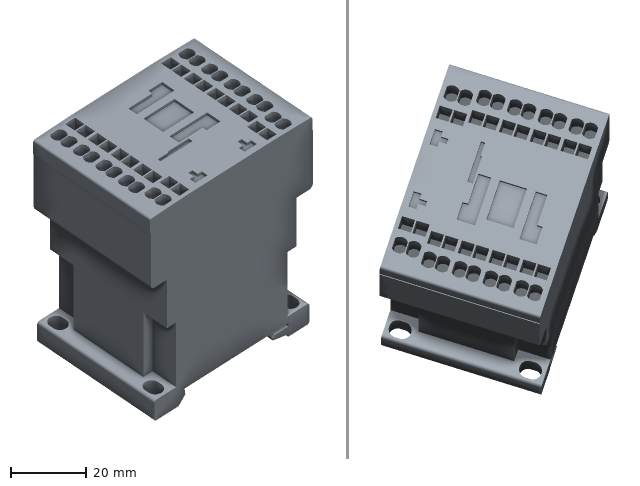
import cadquery as cq

width = 44.8
height = 72.4

foot_half_depth = 28.75
foot_height = 7.25
foot_fillet = 0.9
rail_recess_height = 4.85

clip_root_y = 20.9
clip_tip_y = 15.2
clip_top_z = 3.6
clip_tip_chamfer = 0.8
clip_tip_bottom_z = 2.1
clip_root_bottom_z = 0.9

hook_root_y = -17.5
hook_tip_y = -17.2
hook_tip_z = 2.7
hook_bottom_y = -19.7

waist_half_depth = 24.05
notch_width = 9.05
notch_depth = 3.4
notch_top_z = 30.0

shoulder_depth = 60.0
shoulder_bottom_z = 47.1
shoulder_half_depth = shoulder_depth / 2
shoulder_fillet = 1.45
cap_shift = -0.2
cap_bottom_z = 67.3
cap_edge_z = 72.05
cap_fillet = 0.7
ridge_half_depth = 16.0

slot_diameter = 4.8
slot_length = 6.15
slot_x = 18.25
slot_y = 25.05

terminal_pairs = 5
terminal_pitch = 8.6
first_terminal_x = -17.1
terminal_depth = 7.25
aux_inset = 1.5
wire_diameter = 4.55
wire_width = 3.55
wire_spacing = 3.85
wire_row_y = 23.75
screw_side = 3.6
screw_spacing = 4.05
screw_row_y = 17.75

pocket_depth = 1.0
pocket_end_y = -3.3

window_left = -8.05
window_right = -0.4
window_top = 8.2

arm_top = 10.65
arm_step = 5.5
left_arm_outer = -15.3
left_arm_step = -13.75
left_arm_inner = -10.5
right_arm_outer = 7.1
right_arm_step = 5.6
right_arm_inner = 1.95

slider_left = 6.15
slider_step = 6.5
slider_right = 7.7
slider_top = -0.3
slider_step_y = -8.2
slider_bottom = -12.1

latch_right = 20.4
latch_head_left = 18.25
latch_stem_left = 16.15
latch_half_head = 2.25
latch_half_stem = 0.7
latch_y = 9.1

label_left = -19.85
label_right = 0.15
label_top = -5.15
label_bottom = -11.8


def box(x0, x1, y0, y1, z0, z1):
    """Box between two opposite corners."""
    return cq.Workplane("XY").box(x1 - x0, y1 - y0, z1 - z0, centered=False).translate((x0, y0, z0))


def side_prism(points):
    """Prism over the full width from (y, z) points."""
    return cq.Workplane("YZ").polyline(points).close().extrude(width / 2, both=True)


def top_pocket(points):
    """Pocket cutter from (x, y) points, sunk from the top face."""
    floor = cq.Workplane("XY").workplane(offset=height - pocket_depth)
    return floor.polyline(points).close().extrude(pocket_depth)


def foot():
    block = box(-width / 2, width / 2, -foot_half_depth, foot_half_depth, 0, foot_height)
    block = block.faces("<Y or >Y").edges("|X").fillet(foot_fillet)
    recess = side_prism([
        (clip_root_y, rail_recess_height),
        (clip_root_y, clip_top_z),
        (clip_tip_y + clip_tip_chamfer, clip_top_z),
        (clip_tip_y, clip_top_z - clip_tip_chamfer),
        (clip_tip_y, clip_tip_bottom_z),
        (clip_root_y, clip_root_bottom_z),
        (clip_root_y, 0),
        (hook_bottom_y, 0),
        (hook_tip_y, hook_tip_z),
        (hook_root_y, rail_recess_height),
    ])
    slots = (
        cq.Workplane("XY")
        .rect(2 * slot_x, 2 * slot_y, forConstruction=True)
        .vertices()
        .slot2D(slot_length, slot_diameter)
        .extrude(foot_height)
    )
    return block.cut(recess).cut(slots)


def waist():
    block = box(-width / 2, width / 2, -waist_half_depth, waist_half_depth, foot_height, shoulder_bottom_z)
    notches = (
        cq.Workplane("XY")
        .workplane(offset=foot_height)
        .rect(width, 2 * waist_half_depth, forConstruction=True)
        .vertices()
        .rect(2 * notch_width, 2 * notch_depth)
        .extrude(notch_top_z - foot_height)
    )
    return block.cut(notches)


def shoulder():
    block = box(
        -width / 2, width / 2,
        -shoulder_half_depth, shoulder_half_depth,
        shoulder_bottom_z, cap_bottom_z,
    )
    return block.faces("<Z").edges("|X").fillet(shoulder_fillet)


def cap():
    block = side_prism([
        (-shoulder_half_depth, cap_bottom_z),
        (shoulder_half_depth, cap_bottom_z),
        (shoulder_half_depth, cap_edge_z),
        (ridge_half_depth, height),
        (-ridge_half_depth, height),
        (-shoulder_half_depth, cap_edge_z),
    ])
    block = block.faces("<Y or >Y").edges(">Z").fillet(cap_fillet)
    return block.translate((0, cap_shift, 0))


def wire_opening():
    bore = cq.Workplane("XY").circle(wire_diameter / 2).extrude(terminal_depth)
    flats = cq.Workplane("XY").rect(wire_width, wire_diameter).extrude(terminal_depth)
    return bore.intersect(flats)


def screw_opening():
    return cq.Workplane("XY").rect(screw_side, screw_side).extrude(terminal_depth)


def terminal_openings():
    """Every wire and screw opening, as a list of cutters."""
    openings = []
    floor_z = height - terminal_depth
    for row in (-1, 1):
        for pair in range(terminal_pairs):
            pair_x = first_terminal_x + pair * terminal_pitch
            inset = aux_inset if pair == terminal_pairs - 1 else 0
            wire_y = row * (wire_row_y - inset) + cap_shift
            screw_y = row * (screw_row_y - inset) + cap_shift
            for side in (-0.5, 0.5):
                wire_x = pair_x + side * wire_spacing
                screw_x = pair_x + side * screw_spacing
                openings.append(wire_opening().translate((wire_x, wire_y, floor_z)))
                openings.append(screw_opening().translate((screw_x, screw_y, floor_z)))
    return openings


def window_pocket():
    return box(window_left, window_right, pocket_end_y, window_top, height - pocket_depth, height)


def arm_pocket(inner, step, outer):
    return top_pocket([
        (inner, arm_top),
        (outer, arm_top),
        (outer, arm_step),
        (step, arm_step),
        (step, pocket_end_y),
        (inner, pocket_end_y),
    ])


def slider_pocket():
    return top_pocket([
        (slider_left, slider_top),
        (slider_right, slider_top),
        (slider_right, slider_bottom),
        (slider_step, slider_bottom),
        (slider_step, slider_step_y),
        (slider_left, slider_step_y),
    ])


def latch_pocket(centre_y):
    """T-shaped pocket with its stem towards -X."""
    head = box(
        latch_head_left, latch_right,
        centre_y - latch_half_head, centre_y + latch_half_head,
        height - pocket_depth, height,
    )
    stem = box(
        latch_stem_left, latch_head_left,
        centre_y - latch_half_stem, centre_y + latch_half_stem,
        height - pocket_depth, height,
    )
    return head.union(stem)


def make_label():
    return box(label_left, label_right, label_bottom, label_top, height - pocket_depth, height)


def make_housing():
    body = foot().union(waist()).union(shoulder()).union(cap())
    for opening in terminal_openings():
        body = body.cut(opening)
    body = body.cut(window_pocket())
    body = body.cut(arm_pocket(left_arm_inner, left_arm_step, left_arm_outer))
    body = body.cut(arm_pocket(right_arm_inner, right_arm_step, right_arm_outer))
    body = body.cut(slider_pocket())
    for side in (-1, 1):
        body = body.cut(latch_pocket(side * latch_y + cap_shift))
    return body.cut(make_label())


housing = make_housing()
label = make_label()

result = cq.Compound.makeCompound([housing.val(), label.val()])